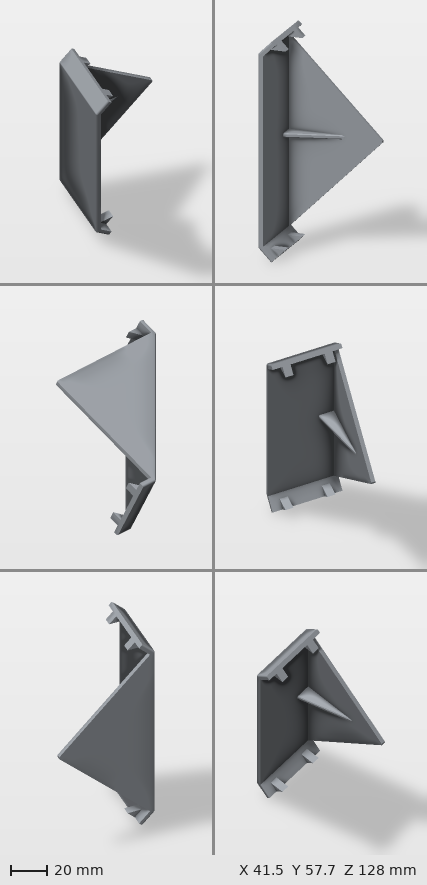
import cadquery as cq
import math

width = 41.5
depth = 57.7
height = 128.0

wall = 3.0
lip_run = 7.5
edge_radius = 1.0

tab_width = 4.7
tab_inset = 5.9
tab_drop = 6.4

side_thickness = 2.4
side_tip_half_width = 0.6
rib_thickness = 2.4
rib_back = 35.8
rib_reach = 11.4
rib_chamfer = 0.5

half_height = height / 2
bend_z = half_height - lip_run
lip_step = wall / math.sqrt(2)
inner_bend_z = bend_z - wall * math.tan(math.pi / 8)


def make_bent_plate():
    upper_outline = [
        (0, bend_z),
        (lip_run, half_height),
        (lip_run + lip_step, half_height - lip_step),
        (wall, inner_bend_z),
    ]
    lower_outline = [(y, -z) for y, z in reversed(upper_outline)]
    plate = cq.Workplane("YZ").polyline(upper_outline + lower_outline).close().extrude(width)
    bends = plate.faces("<Y").edges("|X")
    side_edges = plate.faces("<Y").edges("|Z")
    for outward in (cq.Vector(0, -1, 1), cq.Vector(0, -1, -1)):
        lip_face = plate.faces(cq.selectors.DirectionMinMaxSelector(outward))
        side_edges = side_edges.add(lip_face.edges("not(|X)"))
    return bends.add(side_edges).fillet(edge_radius)


def make_side_plate():
    root_half_width = side_tip_half_width + depth - wall
    outline = [
        (wall, root_half_width),
        (depth, side_tip_half_width),
        (depth, -side_tip_half_width),
        (wall, -root_half_width),
    ]
    return cq.Workplane("YZ").polyline(outline).close().extrude(side_thickness)


def make_rib():
    outline = [
        (0, wall),
        (rib_reach, wall),
        (side_thickness, rib_back),
        (0, rib_back),
    ]
    rib = cq.Workplane("XY").polyline(outline).close().extrude(rib_thickness / 2, both=True)
    slope_normal = cq.Vector(rib_back - wall, rib_reach - side_thickness, 0)
    slope = rib.faces(cq.selectors.DirectionMinMaxSelector(slope_normal))
    return slope.edges("not(|Z)").chamfer(rib_chamfer)


def make_tab(left, side):
    tab_z = half_height - tab_drop
    tab_root = lip_run + 2 * lip_step - tab_drop
    outline = [
        (lip_run + lip_step, side * (half_height - lip_step)),
        (lip_run + tab_drop, side * tab_z),
        (tab_root, side * tab_z),
    ]
    return cq.Workplane("YZ", origin=(left, 0, 0)).polyline(outline).close().extrude(tab_width)


result = make_bent_plate().union(make_side_plate()).union(make_rib())
for left in (tab_inset, width - tab_inset - tab_width):
    for side in (1, -1):
        result = result.union(make_tab(left, side))